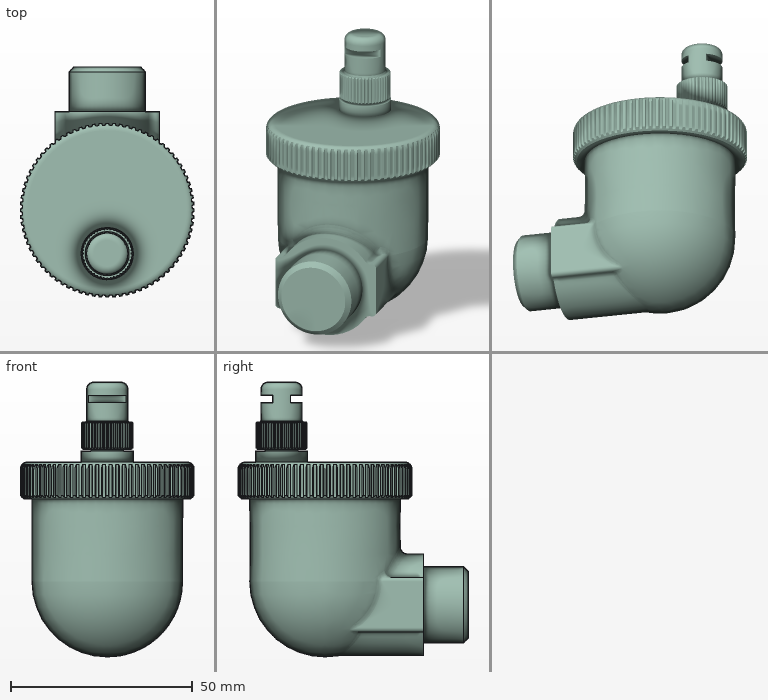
import cadquery as cq
import math

total_height = 75.65

dome_radius = 20.7
barrel_top_radius = 20.8

cap_bottom = 43.5
cap_height = 10.1
cap_top = cap_bottom + cap_height
cap_diameter = 47.9
cap_radius = cap_diameter / 2
cap_top_fillet = 2.0
cap_bottom_chamfer = 1.0
cap_groove_count = 80
cap_groove_depth = 0.5
cap_groove_floor = 0.75
cap_groove_mouth = 1.2

port_height = 14.4
hub_radius = 14.0
hub_end = 27.15
wing_half_width = 14.45
wing_half_height = 7.5
wing_edge_fillet = 1.1
wing_root_fillet = 1.5
hub_body_fillet = 1.8
spigot_radius = 10.5
spigot_end = 39.5
spigot_chamfer = 1.35

valve_y = -11.95
collar_radius = 7.2
collar_top = 56.65
neck_radius = 4.55
knob_radius = 7.0
knob_bottom = 57.05
knob_top = 64.6
knob_bottom_chamfer = 0.5
knob_top_chamfer = 0.2
knob_groove_count = 44
knob_groove_depth = 0.4
knob_groove_floor = 0.1
knob_groove_mouth = 0.6
stem_radius = 5.7
stem_foot_chamfer = 0.4
stem_top_fillet = 2.0
slot_bottom = 70.0
slot_height = 2.05
slot_web = 5.0


def cylinder(radius, bottom, top):
    return cq.Workplane("XY").workplane(offset=bottom).circle(radius).extrude(top - bottom)


def cylinder_along_y(radius, start, end):
    plane = cq.Workplane("XZ", origin=(0, start, port_height))
    return plane.circle(radius).extrude(start - end)


def cut_knurl(body, radius, depth, floor, mouth, count, first_angle, bottom, top):
    """Cut evenly spaced trapezoidal grooves, parallel to Z, into the rim of a round body."""
    overshoot = 0.4
    flare = (mouth - floor) / 2 / depth
    outer_half = mouth / 2 + flare * overshoot
    groove = (
        cq.Workplane("XY")
        .workplane(offset=bottom)
        .polyline([
            (0, -floor / 2),
            (depth + overshoot, -outer_half),
            (depth + overshoot, outer_half),
            (0, floor / 2),
        ])
        .close()
        .extrude(top - bottom)
        .val()
    )
    grooves = (
        cq.Workplane("XY")
        .polarArray(radius - depth, first_angle, 360, count)
        .eachpoint(lambda location: groove.moved(location))
    )
    return body.cut(cq.Workplane(cq.Compound.makeCompound(grooves.vals())))


def make_chamber():
    dome_arc_middle = (dome_radius * math.sqrt(0.5), dome_radius * (1 - math.sqrt(0.5)))
    return (
        cq.Workplane("XZ")
        .moveTo(0, 0)
        .threePointArc(dome_arc_middle, (dome_radius, dome_radius))
        .lineTo(barrel_top_radius, cap_bottom)
        .lineTo(0, cap_bottom)
        .close()
        .revolve(360, (0, 0, 0), (0, 1, 0))
    )


def make_hub():
    wings = (
        cq.Workplane("XZ", origin=(0, 0, port_height))
        .rect(2 * wing_half_width, 2 * wing_half_height)
        .extrude(-hub_end)
        .edges("|Y")
        .fillet(wing_edge_fillet)
    )
    hub = cylinder_along_y(hub_radius, 0, hub_end).union(wings)
    root_x = math.sqrt(hub_radius**2 - wing_half_height**2)
    reach = 0.1
    for side_x in (-root_x, root_x):
        for side_z in (-wing_half_height, wing_half_height):
            root = cq.selectors.BoxSelector(
                (side_x - reach, -reach, port_height + side_z - reach),
                (side_x + reach, hub_end + reach, port_height + side_z + reach),
            )
            hub = hub.edges(root).fillet(wing_root_fillet)
    return hub


def make_spigot():
    return cylinder_along_y(spigot_radius, hub_end, spigot_end).faces(">Y").chamfer(spigot_chamfer)


def make_cap():
    cap = cylinder(cap_radius, cap_bottom, cap_top)
    cap = cap.faces(">Z").edges().fillet(cap_top_fillet)
    cap = cap.faces("<Z").edges().chamfer(cap_bottom_chamfer)
    return cut_knurl(
        cap, cap_radius, cap_groove_depth, cap_groove_floor, cap_groove_mouth,
        cap_groove_count, 180 / cap_groove_count, cap_bottom, cap_top,
    )


def make_knob():
    knob = cylinder(knob_radius, knob_bottom, knob_top)
    knob = knob.faces("<Z").edges().chamfer(knob_bottom_chamfer)
    knob = knob.faces(">Z").edges().chamfer(knob_top_chamfer)
    return cut_knurl(
        knob, knob_radius, knob_groove_depth, knob_groove_floor, knob_groove_mouth,
        knob_groove_count, 0, knob_bottom, knob_top,
    )


def make_valve():
    collar = cylinder(collar_radius, cap_top, collar_top)
    neck = cylinder(neck_radius, collar_top, knob_bottom)
    foot = cq.Workplane(cq.Solid.makeCone(
        stem_radius + stem_foot_chamfer, stem_radius, stem_foot_chamfer, pnt=cq.Vector(0, 0, knob_top)
    ))
    stem = cylinder(stem_radius, knob_top, total_height).faces(">Z").edges().fillet(stem_top_fillet)
    slot_middle = slot_bottom + slot_height / 2
    slots = (
        cq.Workplane("XY", origin=(0, 0, slot_middle))
        .box(2 * stem_radius, 2 * stem_radius, slot_height)
        .cut(cq.Workplane("XY", origin=(0, 0, slot_middle)).box(2 * stem_radius, slot_web, slot_height))
    )
    valve = collar.union(neck).union(make_knob()).union(foot).union(stem.cut(slots))
    return valve.translate((0, valve_y, 0))


def make_body():
    body = make_chamber().union(make_hub())
    margin = 0.75
    seam = cq.selectors.BoxSelector(
        (-dome_radius, margin, 0), (dome_radius, hub_end - margin, cap_bottom), boundingbox=True
    )
    return body.edges(seam).fillet(hub_body_fillet)


result = make_body().union(make_spigot()).union(make_cap()).union(make_valve())